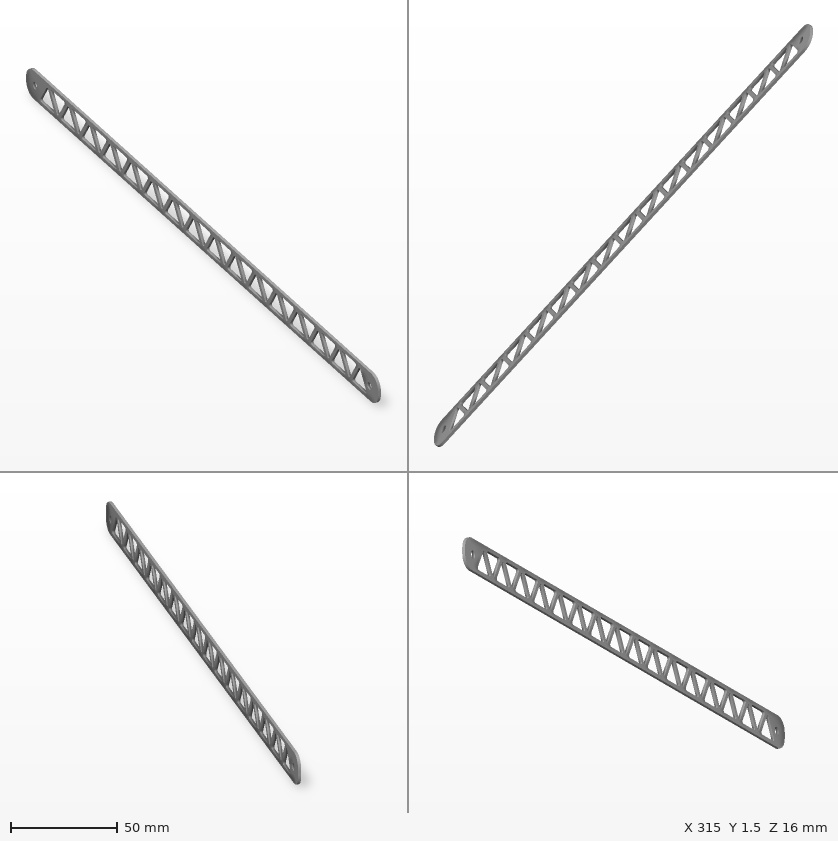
import cadquery as cq
import math

LENGTH = 315.0
THICKNESS = 1.5
HEIGHT = 16.0
END_CORNER_RADIUS = 6.5

HOLE_DIAMETER = 3.8
HOLE_SPACING = 299.2

RAIL_WIDTH = 2.02
WINDOW_HEIGHT = HEIGHT - 2 * RAIL_WIDTH
WINDOW_SIDE = 2 * WINDOW_HEIGHT / math.sqrt(3)
WINDOW_CORNER_RADIUS = 1.0
WINDOW_COUNT = 31
TRUSS_SPAN = 279.5
WINDOW_PITCH = TRUSS_SPAN / (WINDOW_COUNT - 1)
TRUSS_OFFSET = 1.07


def rounded_plate():
    """Flat bar with rounded corners, standing in the XZ plane and centred on the origin."""
    return (
        cq.Workplane("XZ")
        .rect(LENGTH, HEIGHT)
        .extrude(THICKNESS / 2, both=True)
        .edges("|Y")
        .fillet(END_CORNER_RADIUS)
    )


def mounting_holes():
    """Cutters for the hole at each end."""
    return (
        cq.Workplane("XZ")
        .pushPoints([(-HOLE_SPACING / 2, 0), (HOLE_SPACING / 2, 0)])
        .circle(HOLE_DIAMETER / 2)
        .extrude(THICKNESS, both=True)
    )


def window(center_x, direction):
    """Triangular window cutter; direction is 1 for apex up and -1 for apex down."""
    base_z = -direction * WINDOW_HEIGHT / 2
    corners = [
        (center_x - WINDOW_SIDE / 2, base_z),
        (center_x + WINDOW_SIDE / 2, base_z),
        (center_x, -base_z),
    ]
    return (
        cq.Workplane("XZ")
        .polyline(corners)
        .close()
        .extrude(THICKNESS, both=True)
        .edges("|Y")
        .fillet(WINDOW_CORNER_RADIUS)
    )


result = rounded_plate().cut(mounting_holes())

first_window_x = TRUSS_OFFSET - TRUSS_SPAN / 2
for index in range(WINDOW_COUNT):
    apex_direction = 1 if index % 2 == 0 else -1
    result = result.cut(window(first_window_x + index * WINDOW_PITCH, apex_direction))